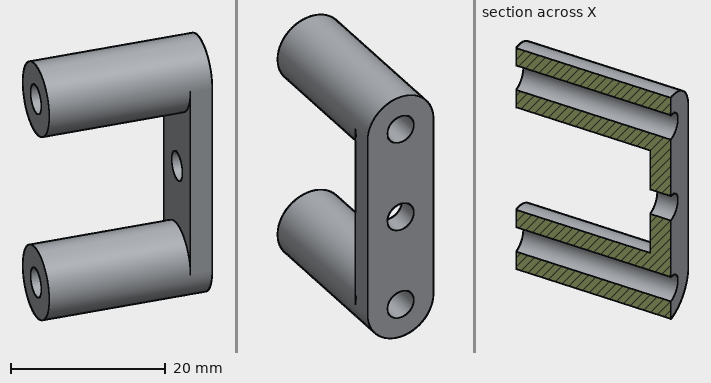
import cadquery as cq

height = 37.0
post_diameter = 10.0
post_length = 22.5
plate_thickness = 3.05
hole_diameter = 4.0

post_pitch = height - post_diameter
post_centers = [(0, -post_pitch / 2), (0, post_pitch / 2)]
hole_centers = post_centers + [(0, 0)]


def back_plane():
    """Sketch plane on the back face (Y = 0); extrusions run toward -Y."""
    return cq.Workplane("XZ")


plate = back_plane().rect(post_diameter, post_pitch).extrude(plate_thickness)
posts = back_plane().pushPoints(post_centers).circle(post_diameter / 2).extrude(post_length)

holes = back_plane().pushPoints(hole_centers).circle(hole_diameter / 2).extrude(post_length)

result = plate.union(posts).cut(holes)